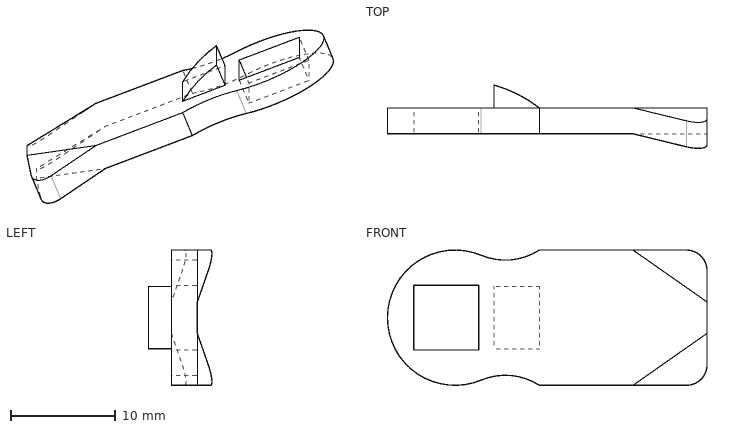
import cadquery as cq
import math

thickness = 2.5
width = 13.0
length = 30.68
half_width = width / 2
head_radius = half_width
end_x = length - head_radius
corner_radius = 2.0

neck_radius = 6.0
neck_center_x = 4.82
neck_center_distance = head_radius + neck_radius
neck_center_z = math.sqrt(neck_center_distance**2 - neck_center_x**2)
neck_start_x = neck_center_x * head_radius / neck_center_distance
neck_start_z = neck_center_z * head_radius / neck_center_distance
neck_low_z = neck_center_z - neck_radius
neck_end_x = neck_center_x + math.sqrt(neck_radius**2 - (neck_center_z - half_width) ** 2)

window_size = 6.2
window_left_x = -3.95

catch_height = 2.2
catch_width = 6.0
catch_front_x = 3.72
catch_bulge = 0.24

fold_side_x = 17.05
fold_end_z = 1.5
bend_drop = 1.4
fold_run_x = end_x - fold_side_x
fold_run_z = half_width - fold_end_z
fold_length = math.hypot(fold_run_x, fold_run_z)
outward_x = fold_run_z / fold_length
outward_z = fold_run_x / fold_length
corner_reach = (
    (end_x - corner_radius - fold_side_x) * outward_x
    - corner_radius * outward_z
    + corner_radius
)
bend_slope = bend_drop / corner_reach
leaf_reach = 2 * corner_reach
prism_length = 3 * fold_length

stock_front_y = -2 * (thickness + bend_drop)
stock_depth = 2 * abs(stock_front_y)


def make_outline(front_y, depth):
    """Plate outline extruded from front_y toward +Y."""
    return (
        cq.Workplane("XZ", origin=(0, front_y, 0))
        .moveTo(neck_start_x, neck_start_z)
        .threePointArc((neck_center_x, neck_low_z), (neck_end_x, half_width))
        .lineTo(end_x, half_width)
        .lineTo(end_x, -half_width)
        .lineTo(neck_end_x, -half_width)
        .threePointArc((neck_center_x, -neck_low_z), (neck_start_x, -neck_start_z))
        .threePointArc((-head_radius, 0), (neck_start_x, neck_start_z))
        .close()
        .extrude(-depth)
        .edges("|Y and >X")
        .fillet(corner_radius)
    )


def make_fold_prism(section):
    """Prism along the upper fold; section points are (distance past fold, y)."""
    fold_plane = cq.Plane(
        origin=(end_x + fold_run_x, 0, fold_end_z - fold_run_z),
        xDir=(outward_x, 0, outward_z),
        normal=(-fold_run_x, 0, fold_run_z),
    )
    return cq.Workplane(fold_plane).polyline(section).close().extrude(prism_length)


def make_bent_plate():
    rear_y = stock_front_y + stock_depth
    leaf_drop = leaf_reach * bend_slope
    corner_stock = make_fold_prism(
        [(0, stock_front_y), (leaf_reach, stock_front_y), (leaf_reach, rear_y), (0, rear_y)]
    )
    leaf = make_fold_prism(
        [
            (0, -thickness),
            (leaf_reach, -thickness - leaf_drop),
            (leaf_reach, -leaf_drop),
            (0, 0),
        ]
    ).intersect(make_outline(stock_front_y, stock_depth))
    flat = make_outline(-thickness, thickness).cut(corner_stock).cut(corner_stock.mirror("XY"))
    return flat.union(leaf).union(leaf.mirror("XY"))


def make_window():
    return (
        cq.Workplane("XZ")
        .center(window_left_x + window_size / 2, 0)
        .rect(window_size, window_size)
        .extrude(thickness)
    )


def make_catch():
    """Ramp with a convex arc top, ending where the neck meets the straight sides."""
    run = neck_end_x - catch_front_x
    slope_length = math.hypot(run, catch_height)
    crest = (
        (catch_front_x + neck_end_x) / 2 + catch_bulge * catch_height / slope_length,
        catch_height / 2 + catch_bulge * run / slope_length,
    )
    return (
        cq.Workplane("XY", origin=(0, 0, -catch_width / 2))
        .moveTo(catch_front_x, 0)
        .lineTo(catch_front_x, catch_height)
        .threePointArc(crest, (neck_end_x, 0))
        .close()
        .extrude(catch_width)
    )


result = make_bent_plate().cut(make_window()).union(make_catch())